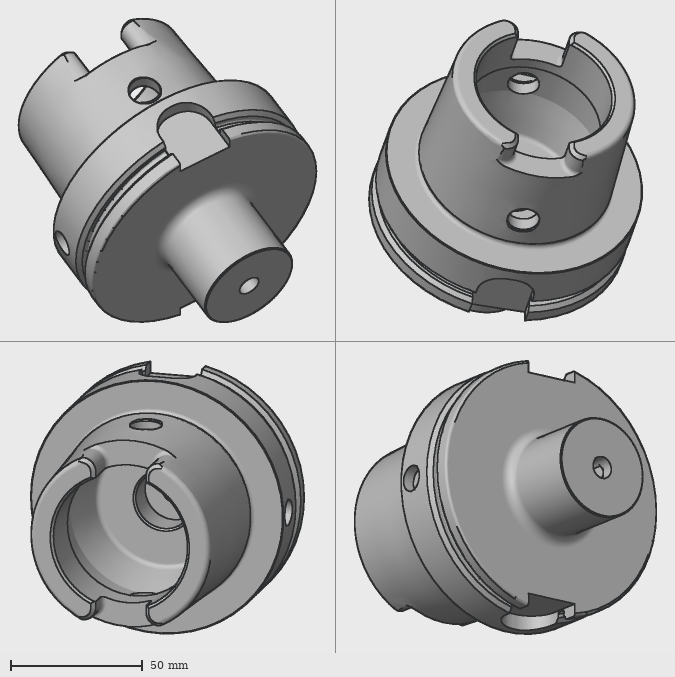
import cadquery as cq
import math

SHANK_LENGTH = 50.0
OVERALL_LENGTH = 110.9
FLANGE_WIDTH = 28.8
FRONT_X = -SHANK_LENGTH
NOSE_END_X = OVERALL_LENGTH - SHANK_LENGTH

TAPER_LARGE_RADIUS = 37.8
TAPER_RATE = 1 / 20
FRONT_ROUND = 2.0
NECK_WIDTH = 2.7
NECK_ENTRY = 0.5
NECK_RADIUS = 37.3
NECK_FILLET = 1.5

FLANGE_RADIUS = 100.0 / 2
FLANGE_FRONT_CHAMFER = 0.3
FLANGE_BACK_ROUND = 1.0
GROOVE_X = 20.0
GROOVE_RADIUS = 46.0
GROOVE_FLOOR_WIDTH = 3.5
GROOVE_MOUTH_WIDTH = 6.7
GROOVE_CHAMFER_DEPTH = 1.9
GROOVE_FLOOR_FILLET = 0.7

NOSE_RADIUS = 39.0 / 2
NOSE_FILLET = 4.0
NOSE_CHAMFER = 0.4

BORE_RADIUS = 53.0 / 2
BORE_CHAMFER = 1.0
BORE_LENGTH = 19.7
CLAMP_RADIUS = 63.0 / 2
CLAMP_ANGLE = 60.0
CLAMP_GROOVE_END = 39.9
CAVITY_CONE_ANGLE = 15.0
CAVITY_FLOOR_RADIUS = 24.8
CAVITY_FLOOR_FILLET = 2.0
COOLANT_POCKET_RADIUS = 22.5 / 2
COOLANT_POCKET_CHAMFER = 0.8
COOLANT_POCKET_DEPTH = 13.3
THROUGH_RADIUS = 8.5 / 2

SLOT_HALF_WIDTH = 10.0
SLOT_CREST_HEIGHT = 32.0
SLOT_ROUND = 5.0
SLOT_LEDGE_TILT = 20.0
SLOT_FRONT_CHAMFER = 1.5
SLOT_END_FILLET = 1.8
UPPER_SLOT_DEPTH = 15.1
LOWER_SLOT_DEPTH = 10.1

RADIAL_HOLE_DIAMETER = 12.0
RADIAL_HOLE_X = -15.2
RADIAL_HOLE_CHAMFER = 0.7
CHIP_HOLE_DIAMETER = 10.0
CHIP_HOLE_X = 6.9
CHIP_HOLE_DEPTH = 4.7
KEYWAY_WIDTH = 22.0
KEYWAY_START_X = 4.9
KEYWAY_CORNER_RADIUS = 10.0
KEYWAY_FLOOR = 44.0

SCREW_DIAMETER = 10.0
SCREW_X = NOSE_END_X - 10.0
SCREW_HEAD_Y = 19.3
SCREW_HOLE_BOTTOM_Y = 3.3
SCREW_CHAMFER = 0.5

CLEAR = 5.5


def taper_radius(x):
    """Radius of the taper at station x."""
    return TAPER_LARGE_RADIUS + TAPER_RATE * (x + NECK_WIDTH)


def revolve_about_x(profile):
    return profile.close().revolve(360, (0, 0, 0), (1, 0, 0))


def make_blank():
    """Solid of revolution: taper, neck, flange and nose."""
    rounded_radius = taper_radius(FRONT_X + FRONT_ROUND)
    profile = (
        cq.Workplane("XY")
        .moveTo(FRONT_X, 0)
        .lineTo(FRONT_X, rounded_radius - FRONT_ROUND)
        .radiusArc((FRONT_X + FRONT_ROUND, rounded_radius), FRONT_ROUND)
        .lineTo(-NECK_WIDTH, TAPER_LARGE_RADIUS)
        .lineTo(-NECK_WIDTH + NECK_ENTRY, NECK_RADIUS)
        .lineTo(-NECK_FILLET, NECK_RADIUS)
        .radiusArc((0, NECK_RADIUS + NECK_FILLET), -NECK_FILLET)
        .lineTo(0, FLANGE_RADIUS - FLANGE_FRONT_CHAMFER)
        .lineTo(FLANGE_FRONT_CHAMFER, FLANGE_RADIUS)
        .lineTo(FLANGE_WIDTH - FLANGE_BACK_ROUND, FLANGE_RADIUS)
        .radiusArc((FLANGE_WIDTH, FLANGE_RADIUS - FLANGE_BACK_ROUND), FLANGE_BACK_ROUND)
        .lineTo(FLANGE_WIDTH, NOSE_RADIUS + NOSE_FILLET)
        .radiusArc((FLANGE_WIDTH + NOSE_FILLET, NOSE_RADIUS), -NOSE_FILLET)
        .lineTo(NOSE_END_X - NOSE_CHAMFER, NOSE_RADIUS)
        .lineTo(NOSE_END_X, NOSE_RADIUS - NOSE_CHAMFER)
        .lineTo(NOSE_END_X, 0)
    )
    return revolve_about_x(profile)


def gripper_groove():
    """Ring cutter: chamfered mouth, straight walls, filleted floor."""
    floor_half = GROOVE_FLOOR_WIDTH / 2
    mouth_half = GROOVE_MOUTH_WIDTH / 2
    wall_top = FLANGE_RADIUS - GROOVE_CHAMFER_DEPTH
    flat_half = floor_half - GROOVE_FLOOR_FILLET
    fillet_top = GROOVE_RADIUS + GROOVE_FLOOR_FILLET
    profile = (
        cq.Workplane("XY")
        .moveTo(GROOVE_X - flat_half, GROOVE_RADIUS)
        .lineTo(GROOVE_X + flat_half, GROOVE_RADIUS)
        .radiusArc((GROOVE_X + floor_half, fillet_top), -GROOVE_FLOOR_FILLET)
        .lineTo(GROOVE_X + floor_half, wall_top)
        .lineTo(GROOVE_X + mouth_half, FLANGE_RADIUS)
        .lineTo(GROOVE_X + mouth_half, FLANGE_RADIUS + CLEAR)
        .lineTo(GROOVE_X - mouth_half, FLANGE_RADIUS + CLEAR)
        .lineTo(GROOVE_X - mouth_half, FLANGE_RADIUS)
        .lineTo(GROOVE_X - floor_half, wall_top)
        .lineTo(GROOVE_X - floor_half, fillet_top)
        .radiusArc((GROOVE_X - flat_half, GROOVE_RADIUS), -GROOVE_FLOOR_FILLET)
    )
    return revolve_about_x(profile)


def slot_outline(start_x, grow):
    """Slot section on the plane x = start_x, widened by grow on the walls and ledges."""
    outer = TAPER_LARGE_RADIUS + CLEAR
    tilt = math.radians(SLOT_LEDGE_TILT)
    radius = SLOT_ROUND - grow
    wall_y = SLOT_HALF_WIDTH + grow
    shoulder = SLOT_CREST_HEIGHT - SLOT_ROUND
    ledge_y = wall_y + radius * (1 + math.sin(tilt))
    ledge_z = shoulder + radius * math.cos(tilt)
    ledge_end_z = ledge_z - (outer - ledge_y) * math.tan(tilt)
    return (
        cq.Workplane("YZ", origin=(start_x, 0, 0))
        .moveTo(-wall_y, 0)
        .lineTo(wall_y, 0)
        .lineTo(wall_y, shoulder)
        .radiusArc((ledge_y, ledge_z), radius)
        .lineTo(outer, ledge_end_z)
        .lineTo(outer, outer)
        .lineTo(-outer, outer)
        .lineTo(-outer, ledge_end_z)
        .lineTo(-ledge_y, ledge_z)
        .radiusArc((-wall_y, shoulder), radius)
        .close()
    )


def drive_slot(depth, side):
    """Cutter for one drive slot with a chamfered mouth; side is +1 for +Z and -1 for -Z."""
    channel = (
        slot_outline(FRONT_X - CLEAR, 0)
        .extrude(depth + CLEAR)
        .faces(">X")
        .edges()
        .fillet(SLOT_END_FILLET)
    )
    chamfer_end = slot_outline(FRONT_X + SLOT_FRONT_CHAMFER, 0).wires().val()
    chamfer_mouth = slot_outline(FRONT_X, SLOT_FRONT_CHAMFER).wires().val()
    chamfer = cq.Solid.makeLoft([chamfer_mouth, chamfer_end], True)
    cutter = channel.union(cq.Workplane(obj=chamfer))
    if side < 0:
        cutter = cutter.rotate((0, 0, 0), (1, 0, 0), 180)
    return cutter


def shank_cavity():
    """Bore, clamping groove, inner cone, coolant pocket and through hole as one turned cutter."""
    cone_length = (CLAMP_RADIUS - BORE_RADIUS) / math.tan(math.radians(CLAMP_ANGLE))
    bore_end = FRONT_X + BORE_LENGTH
    groove_end = FRONT_X + CLAMP_GROOVE_END
    inner_angle = math.radians(CAVITY_CONE_ANGLE)
    cone_end_radius = CAVITY_FLOOR_RADIUS + CAVITY_FLOOR_FILLET * math.cos(inner_angle)
    cone_end = groove_end + (CLAMP_RADIUS - cone_end_radius) / math.tan(inner_angle)
    floor_x = cone_end + CAVITY_FLOOR_FILLET * (1 - math.sin(inner_angle))
    pocket_end = floor_x + COOLANT_POCKET_DEPTH
    profile = (
        cq.Workplane("XY")
        .moveTo(FRONT_X, 0)
        .lineTo(FRONT_X, BORE_RADIUS + BORE_CHAMFER)
        .lineTo(FRONT_X + BORE_CHAMFER, BORE_RADIUS)
        .lineTo(bore_end, BORE_RADIUS)
        .lineTo(bore_end + cone_length, CLAMP_RADIUS)
        .lineTo(groove_end, CLAMP_RADIUS)
        .lineTo(cone_end, cone_end_radius)
        .radiusArc((floor_x, CAVITY_FLOOR_RADIUS), CAVITY_FLOOR_FILLET)
        .lineTo(floor_x, COOLANT_POCKET_RADIUS + COOLANT_POCKET_CHAMFER)
        .lineTo(floor_x + COOLANT_POCKET_CHAMFER, COOLANT_POCKET_RADIUS)
        .lineTo(pocket_end, COOLANT_POCKET_RADIUS)
        .lineTo(pocket_end, THROUGH_RADIUS)
        .lineTo(NOSE_END_X, THROUGH_RADIUS)
        .lineTo(NOSE_END_X, 0)
    )
    return revolve_about_x(profile)


def radial_hole():
    """Hole across the shank along Z, countersunk slightly at both ends."""
    radius = RADIAL_HOLE_DIAMETER / 2
    rim_z = taper_radius(RADIAL_HOLE_X)
    rim_radius = radius + RADIAL_HOLE_CHAMFER
    hole = (
        cq.Workplane("XY", origin=(RADIAL_HOLE_X, 0, 0))
        .circle(radius)
        .extrude(rim_z + CLEAR, both=True)
    )
    for side in (1, -1):
        rim_center = cq.Vector(RADIAL_HOLE_X, 0, side * rim_z)
        inward = cq.Vector(0, 0, -side)
        countersink = cq.Solid.makeCone(rim_radius, 0, rim_radius, rim_center, inward)
        hole = hole.union(cq.Workplane(obj=countersink))
    return hole


def chip_hole():
    """Blind flat-bottomed hole in the -Y side of the flange."""
    return (
        cq.Workplane("XZ", origin=(CHIP_HOLE_X, CHIP_HOLE_DEPTH - FLANGE_RADIUS, 0))
        .circle(CHIP_HOLE_DIAMETER / 2)
        .extrude(CHIP_HOLE_DEPTH + CLEAR)
    )


def keyway(side):
    """Flat-floored keyway open at the back of the flange; side is +1 for +Z and -1 for -Z."""
    length = FLANGE_WIDTH - KEYWAY_START_X + CLEAR
    cutter = (
        cq.Workplane("XY", origin=(KEYWAY_START_X + length / 2, 0, KEYWAY_FLOOR))
        .rect(length, KEYWAY_WIDTH)
        .extrude(FLANGE_RADIUS)
        .edges("|Z and <X")
        .fillet(KEYWAY_CORNER_RADIUS)
    )
    if side < 0:
        cutter = cutter.rotate((0, 0, 0), (1, 0, 0), 180)
    return cutter


def screw_hole():
    """Radial hole that breaks into the through hole and opens on the +Y side of the nose."""
    return (
        cq.Workplane("XZ", origin=(SCREW_X, SCREW_HOLE_BOTTOM_Y, 0))
        .circle(SCREW_DIAMETER / 2)
        .extrude(-(NOSE_RADIUS + CLEAR - SCREW_HOLE_BOTTOM_Y))
    )


def make_holder():
    body = make_blank()
    body = body.cut(drive_slot(UPPER_SLOT_DEPTH, 1)).cut(drive_slot(LOWER_SLOT_DEPTH, -1))
    body = body.cut(shank_cavity())
    body = body.cut(gripper_groove())
    for side in (1, -1):
        body = body.cut(keyway(side))
    body = body.cut(radial_hole())
    body = body.cut(chip_hole())
    return body.cut(screw_hole())


def make_screw():
    """Clamping screw, from the edge of the through hole to just below the nose surface."""
    return (
        cq.Workplane("XZ", origin=(SCREW_X, THROUGH_RADIUS, 0))
        .circle(SCREW_DIAMETER / 2)
        .extrude(-(SCREW_HEAD_Y - THROUGH_RADIUS))
        .faces(">Y")
        .chamfer(SCREW_CHAMFER)
    )


holder = make_holder()
screw = make_screw()
result = cq.Compound.makeCompound([holder.val(), screw.val()])